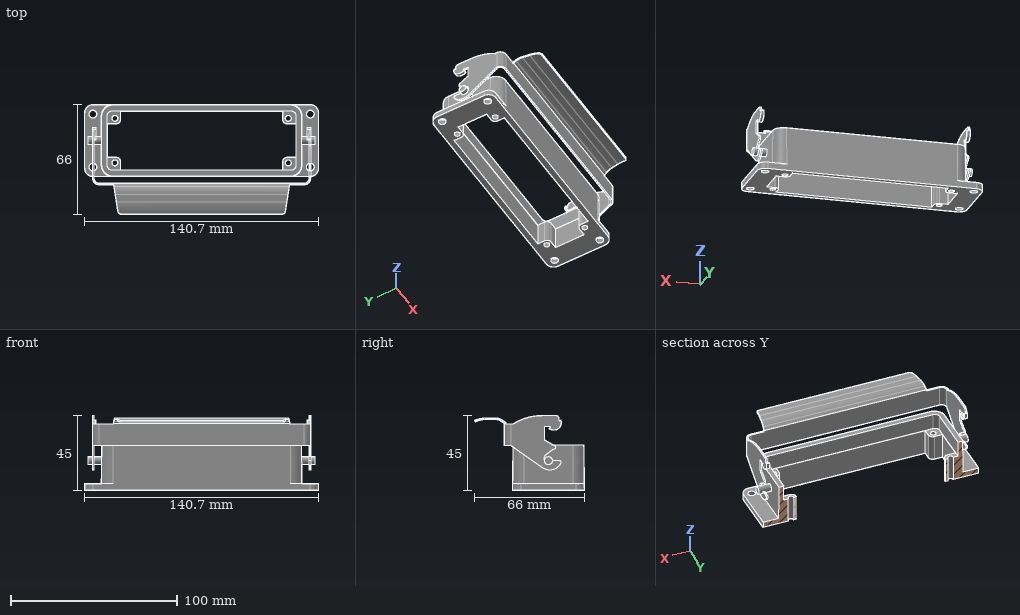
import cadquery as cq
import math

OUTER_DRAFT = 0.7

FLANGE_LENGTH = 140.7
FLANGE_WIDTH = 43.3
FLANGE_THICKNESS = 4.1
FLANGE_CORNER_RADIUS = 5.2
MOUNT_HOLE_DIAMETER = 4.5
MOUNT_HOLE_X = 65.3
MOUNT_HOLE_Y = 15.9

HOUSING_LENGTH = 120.8
HOUSING_HEIGHT = 27.3
HOUSING_CORNER_RADIUS = 7.0
CAVITY_LENGTH = 113.3
CAVITY_WIDTH = 35.2
CAVITY_CORNER_RADIUS = 2.8
CAVITY_STEP = 0.1

BOSS_LENGTH = 8.0
BOSS_WIDTH = 7.6
BOSS_TOP = 16.9
BOSS_CORNER_RADIUS = 2.8
BOSS_OVERLAP = 1.4
BOSS_HOLE_DIAMETER = 3.4
BOSS_HOLE_X = 52.1
BOSS_HOLE_Y = 13.4

PIN_RADIUS = 2.4
PIN_Z = 17.9
PIN_TIP_X = 68.3

SHEET = 1.0
LEVER_HALF_LENGTH = 65.6
LEVER_TOP = 45.0
STRAP_FRONT_Y = -26.6
STRAP_BOTTOM = 26.9
STRAP_TOP = 40.0
BEND_RADIUS = 4.1
BEND_Y = STRAP_FRONT_Y + BEND_RADIUS

ARM_TOP_SLOPE_START = (-21.3, STRAP_TOP)
ARM_TOP_SLOPE_MIDDLE = (-13.8, 43.5)
ARM_TOP_FLAT_START = (-3.5, LEVER_TOP)
ARM_TOP_FLAT_END = (4.8, LEVER_TOP)
ARM_TOP_CORNER_MIDDLE = (5.9, 44.3)
ARM_TOP_CORNER_END = (6.3, 43.3)
THROAT_Y = -2.3
THROAT_TOP = 38.3
THROAT_BOTTOM = 30.4
THROAT_MOUTH_Y = 1.0
TOOTH_Y = 4.1
TOOTH_TOP = 26.6
TOOTH_BOTTOM = 25.2
SEAT_SLOPE_MIDDLE = (1.7, 23.9)
SEAT_SLOPE_END = (-0.5, 22.1)
SEAT_ENTRY_MIDDLE = (-2.4, 20.3)
TAIL_TOP_END = (6.8, PIN_Z)
TAIL_TIP_MIDDLE = (7.5, 17.5)
TAIL_TIP_END = (7.5, 16.5)
TAIL_BELLY = (4.1, 13.1)
TAIL_BELLY_END = (-2.0, 12.8)
ARM_UNDERSIDE_START = (-3.4, 13.5)

NOSE_Y = 3.2
NOSE_Z = 40.7
RIM_RADIUS = 4.5
RIM_DEPTH = 2.1
RIM_START = -130.0
RIM_END = 20.0

OVERALL_WIDTH = 66.0
GRIP_TIP_Y = FLANGE_WIDTH / 2 - OVERALL_WIDTH
GRIP_TOP = 43.6
GRIP_SLOPE_END_Y = -27.7
GRIP_BEND_RADIUS = 8.5
GRIP_FLAT_START_Y = -32.4
GRIP_FLAT_END_Y = -37.0
GRIP_TIP_CURVE_RADIUS = 18.0
GRIP_ROOT_HALF_LENGTH = 53.0
GRIP_TIP_HALF_LENGTH = 50.1
GRIP_CORNER_RADIUS = 2.3


def polar(radius, degrees, center):
    angle = math.radians(degrees)
    return center[0] + radius * math.cos(angle), center[1] + radius * math.sin(angle)


def rounded_block(length, width, bottom, top, radius, draft=0.0):
    outline = cq.Sketch().rect(length, width).vertices().fillet(radius)
    return cq.Workplane("XY").workplane(offset=bottom).placeSketch(outline).extrude(top - bottom, taper=draft)


def four_corners(x, y):
    return [(x, y), (-x, y), (x, -y), (-x, -y)]


def make_base():
    flange = rounded_block(
        FLANGE_LENGTH, FLANGE_WIDTH, 0, FLANGE_THICKNESS, FLANGE_CORNER_RADIUS, OUTER_DRAFT
    )
    housing = rounded_block(
        HOUSING_LENGTH, FLANGE_WIDTH, 0, HOUSING_HEIGHT, HOUSING_CORNER_RADIUS, OUTER_DRAFT
    )
    opening = rounded_block(CAVITY_LENGTH, CAVITY_WIDTH, 0, BOSS_TOP, CAVITY_CORNER_RADIUS)
    upper_opening = rounded_block(
        CAVITY_LENGTH + 2 * CAVITY_STEP,
        CAVITY_WIDTH + 2 * CAVITY_STEP,
        BOSS_TOP,
        HOUSING_HEIGHT,
        CAVITY_CORNER_RADIUS + CAVITY_STEP,
    )
    base = flange.union(housing).cut(opening).cut(upper_opening)
    mount_holes = (
        cq.Workplane("XY")
        .pushPoints(four_corners(MOUNT_HOLE_X, MOUNT_HOLE_Y))
        .circle(MOUNT_HOLE_DIAMETER / 2)
        .extrude(FLANGE_THICKNESS)
    )
    return base.cut(mount_holes)


def add_bosses(base):
    """Add a drilled boss in each cavity corner, with its free vertical edge rounded."""
    boss = (
        cq.Workplane("XY")
        .center(
            (CAVITY_LENGTH - BOSS_LENGTH + BOSS_OVERLAP) / 2,
            (CAVITY_WIDTH - BOSS_WIDTH + BOSS_OVERLAP) / 2,
        )
        .rect(BOSS_LENGTH + BOSS_OVERLAP, BOSS_WIDTH + BOSS_OVERLAP)
        .extrude(BOSS_TOP)
        .edges("|Z")
        .edges("<X")
        .edges("<Y")
        .fillet(BOSS_CORNER_RADIUS)
    )
    boss_pair = boss.union(boss.mirror("YZ"))
    holes = (
        cq.Workplane("XY")
        .pushPoints(four_corners(BOSS_HOLE_X, BOSS_HOLE_Y))
        .circle(BOSS_HOLE_DIAMETER / 2)
        .extrude(BOSS_TOP)
    )
    return base.union(boss_pair).union(boss_pair.mirror("XZ")).cut(holes)


def make_arm():
    """Lever arm at the -X end: a flat hooked plate with a rim around its nose."""
    nose_radius = RIM_RADIUS - SHEET
    nose = (NOSE_Y, NOSE_Z)
    mid_angle = (RIM_START + RIM_END) / 2
    pin = (0.0, PIN_Z)
    plate = (
        cq.Workplane("YZ", origin=(-LEVER_HALF_LENGTH, 0, 0))
        .moveTo(BEND_Y, STRAP_BOTTOM)
        .lineTo(BEND_Y, STRAP_TOP)
        .lineTo(*ARM_TOP_SLOPE_START)
        .threePointArc(ARM_TOP_SLOPE_MIDDLE, ARM_TOP_FLAT_START)
        .lineTo(*ARM_TOP_FLAT_END)
        .threePointArc(ARM_TOP_CORNER_MIDDLE, ARM_TOP_CORNER_END)
        .lineTo(*polar(nose_radius, RIM_END, nose))
        .threePointArc(polar(nose_radius, mid_angle, nose), polar(nose_radius, RIM_START, nose))
        .lineTo(THROAT_MOUTH_Y, THROAT_TOP)
        .lineTo(THROAT_Y, THROAT_TOP)
        .lineTo(THROAT_Y, THROAT_BOTTOM)
        .lineTo(TOOTH_Y, TOOTH_TOP)
        .lineTo(TOOTH_Y, TOOTH_BOTTOM)
        .threePointArc(SEAT_SLOPE_MIDDLE, SEAT_SLOPE_END)
        .threePointArc(SEAT_ENTRY_MIDDLE, polar(PIN_RADIUS, 180, pin))
        .threePointArc(polar(PIN_RADIUS, 270, pin), polar(PIN_RADIUS, 0, pin))
        .lineTo(*TAIL_TOP_END)
        .threePointArc(TAIL_TIP_MIDDLE, TAIL_TIP_END)
        .threePointArc(TAIL_BELLY, TAIL_BELLY_END)
        .lineTo(*ARM_UNDERSIDE_START)
        .close()
        .extrude(SHEET)
    )
    rim = (
        cq.Workplane("YZ", origin=(-LEVER_HALF_LENGTH, 0, 0))
        .moveTo(*polar(RIM_RADIUS, RIM_START, nose))
        .threePointArc(polar(RIM_RADIUS, mid_angle, nose), polar(RIM_RADIUS, RIM_END, nose))
        .lineTo(*polar(nose_radius, RIM_END, nose))
        .threePointArc(polar(nose_radius, mid_angle, nose), polar(nose_radius, RIM_START, nose))
        .close()
        .extrude(RIM_DEPTH)
    )
    return plate.union(rim)


def make_strap():
    """Front strap of the lever with the bends that turn it into the arms."""
    inner_x = LEVER_HALF_LENGTH - SHEET
    inner_y = STRAP_FRONT_Y + SHEET
    inner_radius = BEND_RADIUS - SHEET
    bend_x = LEVER_HALF_LENGTH - BEND_RADIUS
    bend = (bend_x, BEND_Y)
    return (
        cq.Workplane("XY", origin=(0, 0, STRAP_BOTTOM))
        .moveTo(-LEVER_HALF_LENGTH, BEND_Y)
        .threePointArc(polar(BEND_RADIUS, 225, (-bend_x, BEND_Y)), (-bend_x, STRAP_FRONT_Y))
        .lineTo(bend_x, STRAP_FRONT_Y)
        .threePointArc(polar(BEND_RADIUS, 315, bend), (LEVER_HALF_LENGTH, BEND_Y))
        .lineTo(inner_x, BEND_Y)
        .threePointArc(polar(inner_radius, 315, bend), (bend_x, inner_y))
        .lineTo(-bend_x, inner_y)
        .threePointArc(polar(inner_radius, 225, (-bend_x, BEND_Y)), (-inner_x, BEND_Y))
        .close()
        .extrude(STRAP_TOP - STRAP_BOTTOM)
    )


def make_grip():
    """Curved sheet rising from the strap and trimmed to a tapered plan shape."""
    root_y = STRAP_FRONT_Y + SHEET
    bend = (GRIP_FLAT_START_Y, GRIP_TOP - GRIP_BEND_RADIUS)
    under_radius = GRIP_BEND_RADIUS - SHEET
    slope_angle = math.degrees(math.acos((GRIP_SLOPE_END_Y - bend[0]) / GRIP_BEND_RADIUS))
    bend_mid_angle = (slope_angle + 90) / 2
    slope_end = polar(GRIP_BEND_RADIUS, slope_angle, bend)
    under_slope_end = polar(under_radius, slope_angle, bend)
    fall_per_length = 1 / math.tan(math.radians(slope_angle))
    root_z = slope_end[1] - (root_y - slope_end[0]) * fall_per_length
    under_root_z = under_slope_end[1] - (STRAP_FRONT_Y - under_slope_end[0]) * fall_per_length
    curve = (GRIP_FLAT_END_Y, GRIP_TOP - GRIP_TIP_CURVE_RADIUS)
    under_curve_radius = GRIP_TIP_CURVE_RADIUS - SHEET
    tip_angle = 90 + math.degrees(math.asin((GRIP_FLAT_END_Y - GRIP_TIP_Y) / GRIP_TIP_CURVE_RADIUS))
    tip_mid_angle = (90 + tip_angle) / 2
    sheet = (
        cq.Workplane("YZ")
        .moveTo(root_y, STRAP_TOP)
        .lineTo(root_y, root_z)
        .lineTo(*slope_end)
        .threePointArc(
            polar(GRIP_BEND_RADIUS, bend_mid_angle, bend), polar(GRIP_BEND_RADIUS, 90, bend)
        )
        .lineTo(GRIP_FLAT_END_Y, GRIP_TOP)
        .threePointArc(
            polar(GRIP_TIP_CURVE_RADIUS, tip_mid_angle, curve), polar(GRIP_TIP_CURVE_RADIUS, tip_angle, curve)
        )
        .lineTo(*polar(under_curve_radius, tip_angle, curve))
        .threePointArc(
            polar(under_curve_radius, tip_mid_angle, curve), polar(under_curve_radius, 90, curve)
        )
        .lineTo(GRIP_FLAT_START_Y, GRIP_TOP - SHEET)
        .threePointArc(polar(under_radius, bend_mid_angle, bend), under_slope_end)
        .lineTo(STRAP_FRONT_Y, under_root_z)
        .lineTo(STRAP_FRONT_Y, STRAP_TOP)
        .close()
        .extrude(GRIP_ROOT_HALF_LENGTH, both=True)
    )
    plan = (
        cq.Workplane("XY", origin=(0, 0, STRAP_TOP))
        .polyline(
            [
                (-GRIP_ROOT_HALF_LENGTH, root_y),
                (-GRIP_TIP_HALF_LENGTH, GRIP_TIP_Y),
                (GRIP_TIP_HALF_LENGTH, GRIP_TIP_Y),
                (GRIP_ROOT_HALF_LENGTH, root_y),
            ]
        )
        .close()
        .extrude(LEVER_TOP - STRAP_TOP)
        .edges("|Z and <Y")
        .fillet(GRIP_CORNER_RADIUS)
    )
    return sheet.intersect(plan)


def make_pin():
    """Pivot pin at the -X end, reaching into the housing wall."""
    wall_middle_x = (HOUSING_LENGTH + CAVITY_LENGTH) / 4
    return (
        cq.Workplane("YZ", origin=(-PIN_TIP_X, 0, PIN_Z))
        .circle(PIN_RADIUS)
        .extrude(PIN_TIP_X - wall_middle_x)
    )


base = add_bosses(make_base())
end_parts = make_pin().union(make_arm())
lever = make_strap().union(make_grip())
result = base.union(lever).union(end_parts).union(end_parts.mirror("YZ"))